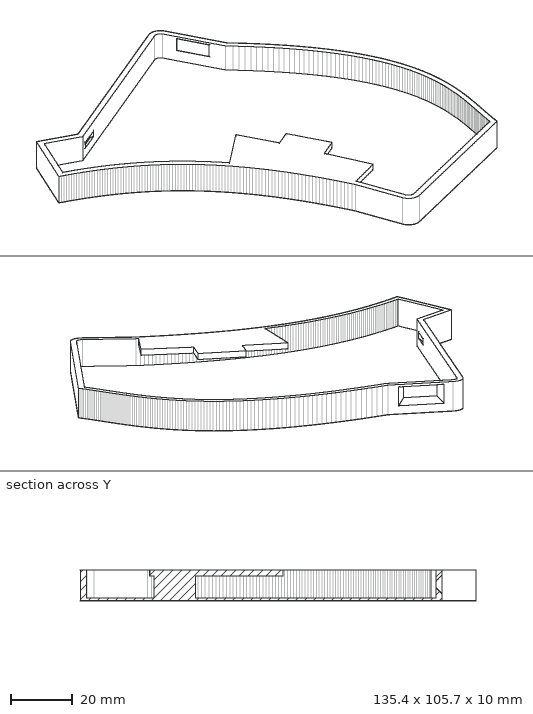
import cadquery as cq

HEIGHT = 10.0
WALL = 2.0
FLOOR = 1.0
CORNER_RADIUS = 4.0

WING_BOTTOM = (14.4, 0.0)
WING_LEFT = (0.0, 18.0)
FRONT_CURVE_END = (106.1, 28.4)
FRONT_RIGHT = (127.3, 25.5)
BACK_RIGHT = (135.4, 81.5)
BACK_CURVE_END = (36.4, 97.3)
LEFT_WALL_X = 11.0
LEFT_WALL_FRONT_Y = 27.1
BACK_LEFT = (LEFT_WALL_X, BACK_CURVE_END[1])

CURVE_FACETS = 100
FRONT_CURVE_CONTROLS = [(36.5, 19.1), (62.7, 30.2)]
BACK_CURVE_CONTROLS = [(118.0, 93.8), (101.5, 118.7)]

LEDGE_THICKNESS = 2.0
LEDGE_LEFT_FOOT = (63.4, 26.4)
LEDGE_LEFT_TOP = (59.0, 44.4)
LEDGE_TAB_LEFT = 74.0
LEDGE_TAB_RIGHT = 89.9
LEDGE_TAB_TOP = 50.6
LEDGE_TAB_RIGHT_FOOT = 43.3
LEDGE_RIGHT_TOP = (107.1, 42.4)
LEDGE_RIGHT_FOOT = (105.5, 29.8)

LEFT_PORT_CENTRE_Y = 32.5
LEFT_PORT_WIDTH = 7.7
LEFT_PORT_BOTTOM = 4.3
LEFT_PORT_HEIGHT = 2.0

BACK_PORT_CENTRE_X = 25.5
BACK_PORT_WIDTH = 11.0
BACK_PORT_BOTTOM = 4.9
BACK_PORT_HEIGHT = 4.3


def bezier_facets(start, controls, end):
    """Points that split a cubic Bezier curve into equal parameter steps."""
    points = []
    for step in range(CURVE_FACETS + 1):
        t = step / CURVE_FACETS
        weights = ((1 - t) ** 3, 3 * t * (1 - t) ** 2, 3 * t**2 * (1 - t), t**3)
        poles = (start, *controls, end)
        x = sum(weight * pole[0] for weight, pole in zip(weights, poles))
        y = sum(weight * pole[1] for weight, pole in zip(weights, poles))
        points.append((x, y))
    return points


def outline():
    """Closed outer outline with sharp corners."""
    points = [
        *bezier_facets(WING_BOTTOM, FRONT_CURVE_CONTROLS, FRONT_CURVE_END),
        FRONT_RIGHT,
        *bezier_facets(BACK_RIGHT, BACK_CURVE_CONTROLS, BACK_CURVE_END),
        BACK_LEFT,
        (LEFT_WALL_X, LEFT_WALL_FRONT_Y),
        WING_LEFT,
    ]
    return cq.Workplane("XY").polyline(points).close()


def round_corners(body, radius):
    """Round the upright edges at the back-left and front-right corners."""
    for corner in (BACK_LEFT, FRONT_RIGHT):
        nearest = cq.selectors.NearestToPointSelector((*corner, HEIGHT / 2))
        body = body.edges("|Z").edges(nearest).fillet(radius)
    return body


def tray():
    outer = round_corners(outline().extrude(HEIGHT), CORNER_RADIUS)
    cavity = outline().offset2D(-WALL, "intersection").extrude(HEIGHT)
    cavity = round_corners(cavity, CORNER_RADIUS - WALL)
    return outer.cut(cavity.translate((0, 0, FLOOR)))


def ledge():
    slab = (
        cq.Workplane("XY")
        .polyline([
            (LEDGE_LEFT_FOOT[0], 0),
            LEDGE_LEFT_FOOT,
            LEDGE_LEFT_TOP,
            (LEDGE_TAB_LEFT, LEDGE_LEFT_TOP[1]),
            (LEDGE_TAB_LEFT, LEDGE_TAB_TOP),
            (LEDGE_TAB_RIGHT, LEDGE_TAB_TOP),
            (LEDGE_TAB_RIGHT, LEDGE_TAB_RIGHT_FOOT),
            LEDGE_RIGHT_TOP,
            LEDGE_RIGHT_FOOT,
            (LEDGE_RIGHT_FOOT[0], 0),
        ])
        .close()
        .extrude(LEDGE_THICKNESS)
        .intersect(outline().extrude(LEDGE_THICKNESS))
    )
    return slab.translate((0, 0, HEIGHT - LEDGE_THICKNESS))


def flared_port(outer_face, width, height, top_flare):
    """Cutter whose small end is on the inner wall face.

    The plane lies on the outer face, points inwards and is centred on the small opening's bottom edge.
    The sides and bottom widen outwards by the wall thickness, the top by top_flare.
    """
    outer_height = height + WALL + top_flare
    return (
        cq.Workplane(outer_face)
        .center(0, outer_height / 2 - WALL)
        .rect(width + 2 * WALL, outer_height)
        .workplane(offset=WALL)
        .center(0, height / 2 - (outer_height / 2 - WALL))
        .rect(width, height)
        .loft(ruled=True)
    )


def left_port():
    base = (LEFT_WALL_X, LEFT_PORT_CENTRE_Y, LEFT_PORT_BOTTOM)
    outer_face = cq.Plane(base, xDir=(0, 1, 0), normal=(1, 0, 0))
    return flared_port(outer_face, LEFT_PORT_WIDTH, LEFT_PORT_HEIGHT, top_flare=WALL)


def back_port():
    base = (BACK_PORT_CENTRE_X, BACK_LEFT[1], BACK_PORT_BOTTOM)
    outer_face = cq.Plane(base, xDir=(1, 0, 0), normal=(0, -1, 0))
    return flared_port(outer_face, BACK_PORT_WIDTH, BACK_PORT_HEIGHT, top_flare=0)


result = tray().union(ledge()).cut(left_port()).cut(back_port())